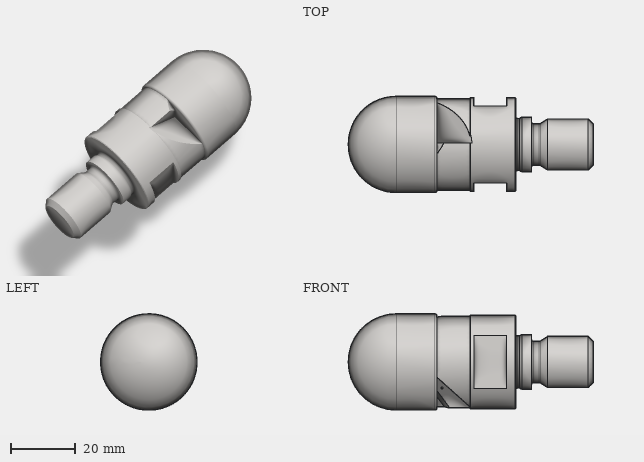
import cadquery as cq
import math

length = 76.0

cap_radius = 15.0
cap_end = 27.5
cap_edge_round = 0.7

body_radius = 14.2
collar_start = 37.7
collar_end = 52.0
collar_radius = 14.5
collar_chamfer = 0.2
flat_start = 39.0
flat_end = 49.1
flat_distance = 12.0

relief_radius = 8.1
relief_fillet = 0.45
relief_width = 1.15
spigot_radius = 8.5
spigot_start = 53.8
spigot_end = 56.85

neck_radius = 6.45
neck_fillet = 0.6
flare_start = 59.2
flare_blend_radius = 0.75
flare_angle = 32.0
shank_radius = 8.0
shank_chamfer = 1.6

wall_offset = 0.5
ramp_tip = 38.4
pocket_angle = 53.5
pocket_depth = 3.5
upper_ramp_angle = 38.5
upper_pocket_edge = 29.7
upper_pocket_rise = 1.6
lower_ramp_angle = 42.0
lower_pocket_edge = 31.5
lower_pocket_rise = 1.15

pin_hole_diameter = 0.6
pin_hole_depth = 0.75
pin_hole_x = 29.1
pin_hole_height = 8.05


def turned_blank():
    dome_bend = cap_radius * math.sqrt(0.5)
    neck_start = spigot_end + neck_fillet
    flare = math.radians(flare_angle)
    blend_end = flare_start + flare_blend_radius * math.sin(flare)
    blend_end_radius = neck_radius + flare_blend_radius * (1 - math.cos(flare))
    shank_start = blend_end + (shank_radius - blend_end_radius) / math.tan(flare)
    return (
        cq.Workplane("XY")
        .moveTo(0, 0)
        .threePointArc((cap_radius - dome_bend, dome_bend), (cap_radius, cap_radius))
        .lineTo(cap_end - cap_edge_round, cap_radius)
        .radiusArc((cap_end, cap_radius - cap_edge_round), cap_edge_round)
        .lineTo(cap_end, body_radius)
        .lineTo(collar_start, body_radius)
        .lineTo(collar_start, collar_radius - collar_chamfer)
        .lineTo(collar_start + collar_chamfer, collar_radius)
        .lineTo(collar_end - collar_chamfer, collar_radius)
        .lineTo(collar_end, collar_radius - collar_chamfer)
        .lineTo(collar_end, relief_radius + relief_fillet)
        .radiusArc((collar_end + relief_fillet, relief_radius), -relief_fillet)
        .lineTo(collar_end + relief_width, relief_radius)
        .lineTo(spigot_start, spigot_radius)
        .lineTo(spigot_end, spigot_radius)
        .lineTo(spigot_end, neck_radius + neck_fillet)
        .radiusArc((neck_start, neck_radius), -neck_fillet)
        .lineTo(flare_start, neck_radius)
        .radiusArc((blend_end, blend_end_radius), -flare_blend_radius)
        .lineTo(shank_start, shank_radius)
        .lineTo(length - shank_chamfer, shank_radius)
        .lineTo(length, shank_radius - shank_chamfer)
        .lineTo(length, 0)
        .close()
        .revolve(360, (0, 0, 0), (1, 0, 0))
    )


def turned_over(shape):
    """Carry a cutter half a turn around the part's axis."""
    return shape.rotate((0, 0, 0), (1, 0, 0), 180)


def wrench_flat():
    """Cutter for the flat on the +Y side."""
    flat_length = flat_end - flat_start
    return (
        cq.Workplane("XZ", origin=(flat_start + flat_length / 2, flat_distance, 0))
        .rect(flat_length, 2 * collar_radius)
        .extrude(-collar_radius)
    )


def notch_ramp(ramp_angle):
    """Cutter open towards +Y, its floor falling from the collar to the cap."""
    drop = (ramp_tip - cap_end) * math.tan(math.radians(ramp_angle))
    return (
        cq.Workplane("XZ", origin=(0, wall_offset, 0))
        .moveTo(ramp_tip, collar_radius)
        .lineTo(cap_end, collar_radius - drop)
        .lineTo(cap_end, collar_radius)
        .close()
        .extrude(-collar_radius)
    )


def wall_pocket(edge_x, rise):
    """Trough sunk into the notch wall towards -Y, closed at the back of the cap."""
    slope = math.radians(pocket_angle)
    reach = 2 * cap_radius
    section_plane = cq.Plane(
        origin=(edge_x, wall_offset, body_radius),
        xDir=(-math.sin(slope), 0, math.cos(slope)),
        normal=(math.cos(slope), 0, math.sin(slope)),
    )
    trough = (
        cq.Workplane(section_plane)
        .polyline([(0, 0), (rise, pocket_depth), (reach, pocket_depth), (reach, 0)])
        .close()
        .extrude(reach, both=True)
    )
    behind_cap = cq.Workplane("YZ", origin=(cap_end, 0, 0)).circle(cap_radius).extrude(reach)
    return trough.intersect(behind_cap)


def pin_hole():
    return (
        cq.Workplane("XZ", origin=(pin_hole_x, wall_offset, pin_hole_height))
        .circle(pin_hole_diameter / 2)
        .extrude(pin_hole_depth)
    )


upper_notch = notch_ramp(upper_ramp_angle).union(wall_pocket(upper_pocket_edge, upper_pocket_rise))
lower_notch = (
    notch_ramp(lower_ramp_angle)
    .union(wall_pocket(lower_pocket_edge, lower_pocket_rise))
    .union(pin_hole())
)

result = (
    turned_blank()
    .cut(wrench_flat())
    .cut(turned_over(wrench_flat()))
    .cut(upper_notch)
    .cut(turned_over(lower_notch))
)